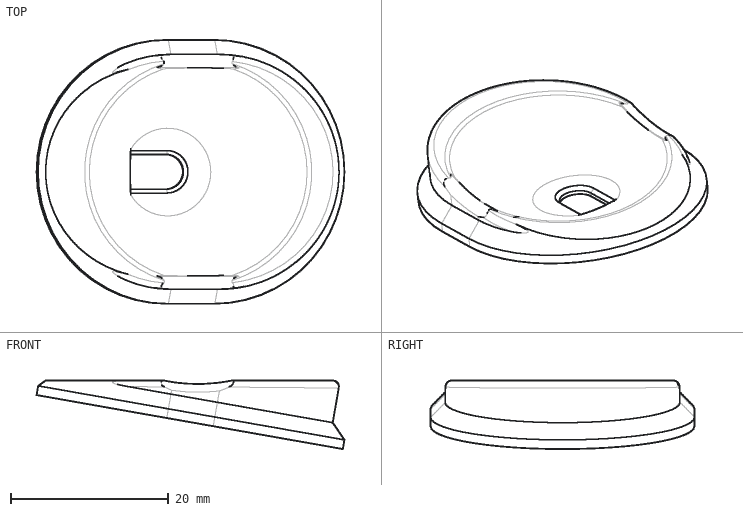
import cadquery as cq
import math

TILT = 10.0
PLATE_RADIUS = 16.8
STRAIGHT = 6.0
PLATE_EDGE = 1.2
TAPER_INSET = 1.85
TAPER_HEIGHT = 1.9

WALL_RADIUS = PLATE_RADIUS - TAPER_INSET
TOP_Z = 5.31
RIM_FILLET = 0.8

BOWL_RADIUS = 23.1
MOUTH_RADIUS = 14.12
MOUTH_FILLET = 1.0
BOWL_X = 1.05
BOWL_Z = TOP_Z + math.sqrt(BOWL_RADIUS**2 - MOUTH_RADIUS**2)
FLOOR_HEIGHT = 1.0

SADDLE_DEPTH = 0.44
SADDLE_CHORD = 8.6
SADDLE_RADIUS = (SADDLE_CHORD**2 / 4 + SADDLE_DEPTH**2) / (2 * SADDLE_DEPTH)
CREST_FILLET = 1.04

SLOT_END_X = -7.8
SLOT_ARC_X = -3.1
SLOT_WIDTH = 4.4
SLOT_CHAMFER = 0.5

TALL = 20.0
WIDE = 4 * PLATE_RADIUS


def tilted(shape):
    return shape.rotate((0, 0, 0), (0, 1, 0), TILT)


def oval(radius, height):
    return cq.Workplane("XY").slot2D(STRAIGHT + 2 * radius, 2 * radius).extrude(height)


def above_top():
    return cq.Workplane("XY", origin=(0, 0, TOP_Z)).rect(WIDE, WIDE).extrude(TALL)


def tapered_skirt():
    inset = TAPER_INSET + RIM_FILLET
    rise = TAPER_HEIGHT * inset / TAPER_INSET
    skirt = oval(PLATE_RADIUS, PLATE_EDGE + rise).faces(">Z").chamfer(rise, inset)
    core = oval(PLATE_RADIUS - inset, TALL)
    return tilted(skirt.cut(core)).cut(above_top())


def walled_body():
    wall = tilted(oval(WALL_RADIUS, TALL)).cut(above_top())
    return wall.faces(">Z").edges().fillet(RIM_FILLET)


def point_on_arc(centre, radius, angle):
    return (centre[0] + radius * math.cos(angle), centre[1] + radius * math.sin(angle))


def bowl_cutter():
    bowl_centre = (0, BOWL_Z)
    round_z = TOP_Z - MOUTH_FILLET
    touch_angle = -math.asin((BOWL_Z - round_z) / (BOWL_RADIUS + MOUTH_FILLET))
    round_centre = point_on_arc(bowl_centre, BOWL_RADIUS + MOUTH_FILLET, touch_angle)
    round_r = round_centre[0]
    touch = point_on_arc(bowl_centre, BOWL_RADIUS, touch_angle)
    bowl_mid = point_on_arc(bowl_centre, BOWL_RADIUS, (touch_angle - math.pi / 2) / 2)
    round_mid_angle = (touch_angle + math.pi + math.pi / 2) / 2
    round_mid = point_on_arc(round_centre, MOUTH_FILLET, round_mid_angle)
    return (
        cq.Workplane("XZ")
        .moveTo(0, BOWL_Z - BOWL_RADIUS)
        .threePointArc(bowl_mid, touch)
        .threePointArc(round_mid, (round_r, TOP_Z))
        .lineTo(round_r, TOP_Z + TALL)
        .lineTo(0, TOP_Z + TALL)
        .close()
        .revolve(360, (0, 0, 0), (0, 1, 0))
        .translate((BOWL_X, 0, 0))
    )


def floor_fill():
    block = cq.Workplane("XY").box(WIDE, WIDE, FLOOR_HEIGHT, centered=(False, True, False))
    return tilted(block.translate((SLOT_END_X, 0, 0)))


def saddle_cutter():
    crest_y = WALL_RADIUS - CREST_FILLET
    round_d = SADDLE_RADIUS + CREST_FILLET
    bowl_slope = math.asin(MOUTH_RADIUS / BOWL_RADIUS)
    inner_y = crest_y - CREST_FILLET * math.sin(bowl_slope)
    inner_d = round_d - CREST_FILLET * math.cos(bowl_slope)
    half = (
        cq.Workplane("XY")
        .lineTo(inner_d, 0)
        .lineTo(inner_d, inner_y)
        .threePointArc((SADDLE_RADIUS, crest_y), (round_d, WALL_RADIUS))
        .lineTo(round_d, PLATE_RADIUS)
        .lineTo(0, PLATE_RADIUS)
        .close()
        .revolve(360, (0, 0, 0), (0, 1, 0))
    )
    both = half.union(half.mirror("XZ"))
    return both.translate((BOWL_X, 0, TOP_Z - SADDLE_DEPTH + SADDLE_RADIUS))


def slot_outline(height, width):
    half = width / 2
    return (
        cq.Workplane("XY", origin=(0, 0, height))
        .moveTo(SLOT_END_X, -half)
        .lineTo(SLOT_ARC_X, -half)
        .threePointArc((SLOT_ARC_X + half, 0), (SLOT_ARC_X, half))
        .lineTo(SLOT_END_X, half)
        .close()
    )


def slot_cutter():
    straight = slot_outline(0, SLOT_WIDTH).extrude(FLOOR_HEIGHT)
    chamfer_bottom = slot_outline(FLOOR_HEIGHT - SLOT_CHAMFER, SLOT_WIDTH).val()
    chamfer_top = slot_outline(FLOOR_HEIGHT, SLOT_WIDTH + 2 * SLOT_CHAMFER).val()
    chamfer = cq.Workplane(cq.Solid.makeLoft([chamfer_bottom, chamfer_top], True))
    return tilted(straight.union(chamfer))


body = walled_body().union(tapered_skirt())
body = body.cut(bowl_cutter().cut(floor_fill()))
body = body.cut(saddle_cutter())
result = body.cut(slot_cutter())